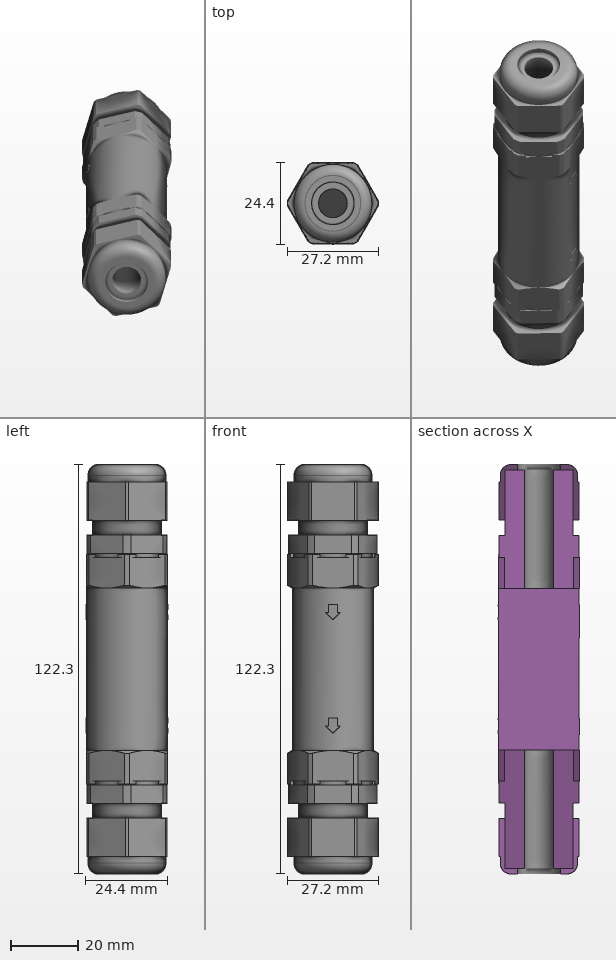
import cadquery as cq
import math

TOTAL_LENGTH = 122.3
BARREL_DIAMETER = 24.2
BARREL_RADIUS = BARREL_DIAMETER / 2

BARREL_END = 24.2
NUT_TOP = 34.2
GLAND_HEX_BOTTOM = 34.5
GLAND_HEX_TOP = 40.0
CAP_HEX_BOTTOM = 44.4
CAP_HEX_TOP = 55.9
CAP_TOP = TOTAL_LENGTH / 2

NUT_ACROSS_FLATS = 24.2
GLAND_ACROSS_FLATS = 24.0
CAP_ACROSS_FLATS = 24.0
NUT_CORNER_RADIUS = 13.6
GLAND_CORNER_RADIUS = 13.2
CAP_CORNER_RADIUS = 13.6

NUT_CHAMFER_ANGLE = 30.0
SEAT_RADIUS = 12.7
SEAT_DEPTH = 0.9

SHOULDER_RADIUS = 12.0
SPIGOT_RADIUS = 10.3
BORE_RADIUS = 4.3

DOME_RADIUS = 11.6
DOME_FILLET = 3.3
LID_THICKNESS = 1.6
LID_OPENING_RADIUS = 6.4

ARROW_OUTER_RADIUS = 12.2
ARROW_LENGTH = 4.5
ARROW_HEAD_LENGTH = 2.1
ARROW_HEAD_WIDTH = 4.3
ARROW_SHAFT_WIDTH = 2.7
ARROW_TAILS = (19.3, -14.5)


def disc(radius, bottom, top):
    return cq.Workplane("XY").workplane(offset=bottom).circle(radius).extrude(top - bottom)


def hexagon(across_flats, corner_radius, bottom, top):
    """Hexagonal prism with flats facing +Y and -Y and its corners turned round."""
    corner_diameter = across_flats / math.cos(math.radians(30))
    prism = cq.Workplane("XY").workplane(offset=bottom).polygon(6, corner_diameter).extrude(top - bottom)
    return prism.intersect(disc(corner_radius, bottom, top))


def make_arrow(tail):
    """Arrow block pointing toward -Z, running through the barrel from -Y to +Y."""
    tip = tail - ARROW_LENGTH
    shoulder = tip + ARROW_HEAD_LENGTH
    half_shaft = ARROW_SHAFT_WIDTH / 2
    half_head = ARROW_HEAD_WIDTH / 2
    outline = [
        (-half_shaft, tail),
        (half_shaft, tail),
        (half_shaft, shoulder),
        (half_head, shoulder),
        (0, tip),
        (-half_head, shoulder),
        (-half_shaft, shoulder),
    ]
    block = cq.Workplane("XZ").polyline(outline).close().extrude(ARROW_OUTER_RADIUS, both=True)
    return block.intersect(disc(ARROW_OUTER_RADIUS, tip, tail))


def make_barrel():
    barrel = disc(BARREL_RADIUS, -BARREL_END, BARREL_END)
    for tail in ARROW_TAILS:
        barrel = barrel.union(make_arrow(tail))
    return barrel


def make_nut():
    """Hexagonal ring on the barrel's end, chamfered toward the barrel."""
    nut = hexagon(NUT_ACROSS_FLATS, NUT_CORNER_RADIUS, BARREL_END, NUT_TOP)
    chamfer_height = (NUT_CORNER_RADIUS - BARREL_RADIUS) * math.tan(math.radians(NUT_CHAMFER_ANGLE))
    envelope = (
        cq.Workplane("XZ")
        .moveTo(0, BARREL_END)
        .lineTo(BARREL_RADIUS, BARREL_END)
        .lineTo(NUT_CORNER_RADIUS, BARREL_END + chamfer_height)
        .lineTo(NUT_CORNER_RADIUS, NUT_TOP)
        .lineTo(0, NUT_TOP)
        .close()
        .revolve()
    )
    nut = nut.intersect(envelope)
    nut = nut.cut(disc(SPIGOT_RADIUS, BARREL_END, NUT_TOP))
    return nut.cut(disc(SEAT_RADIUS, NUT_TOP - SEAT_DEPTH, NUT_TOP))


def make_gland():
    """Bored hexagon body whose stem fills the nut and whose neck fills the cap."""
    neck_top = CAP_TOP - LID_THICKNESS
    gland = disc(SPIGOT_RADIUS, BARREL_END, neck_top)
    gland = gland.union(disc(SHOULDER_RADIUS, NUT_TOP - SEAT_DEPTH, GLAND_HEX_BOTTOM))
    gland = gland.union(hexagon(GLAND_ACROSS_FLATS, GLAND_CORNER_RADIUS, GLAND_HEX_BOTTOM, GLAND_HEX_TOP))
    return gland.cut(disc(BORE_RADIUS, BARREL_END, neck_top))


def make_cap():
    """Hexagonal cap nut with a domed, open lid."""
    dome = disc(DOME_RADIUS, CAP_HEX_BOTTOM, CAP_TOP).faces(">Z").edges().fillet(DOME_FILLET)
    cap = dome.union(hexagon(CAP_ACROSS_FLATS, CAP_CORNER_RADIUS, CAP_HEX_BOTTOM, CAP_HEX_TOP))
    cap = cap.cut(disc(SPIGOT_RADIUS, CAP_HEX_BOTTOM, CAP_TOP - LID_THICKNESS))
    return cap.cut(disc(LID_OPENING_RADIUS, CAP_TOP - LID_THICKNESS, CAP_TOP))


bodies = [make_barrel().val()]
for make_body in (make_nut, make_gland, make_cap):
    upper = make_body()
    lower = upper.mirror("XY")
    bodies += [upper.val(), lower.val()]

result = cq.Compound.makeCompound(bodies)